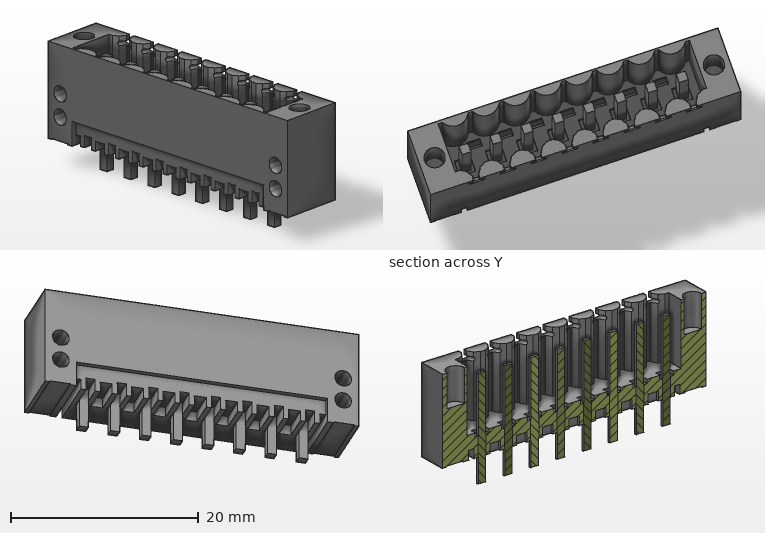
import cadquery as cq
CONTACT_COUNT = 8
PITCH = 3.5
FIRST_CONTACT_X = -PITCH * (CONTACT_COUNT - 1) / 2
CONTACT_XS = [FIRST_CONTACT_X + i * PITCH for i in range(CONTACT_COUNT)]
BETWEEN_CONTACT_XS = [x + PITCH / 2 for x in CONTACT_XS[:-1]]

LENGTH = 35.0
DEPTH = 7.45
HEIGHT = 11.1

PIN_SIDE = 1.0
PIN_Y = 3.55
PIN_BELOW_HOUSING = 3.15
PIN_LENGTH = 13.0
PIN_BACK_Y = PIN_Y + PIN_SIDE / 2

CAVITY_HALF_LENGTH = 14.18
FLOOR_Z = 3.0
CAVITY_FRONT_Y = 0.3
CAVITY_BACK_Y = 5.9

RIB_RADIUS = 1.65
RIB_CREST_Y = 1.15
RIB_VALLEY_Y = 0.2
RIB_VALLEY_WIDTH = 0.5

BAY_BACK_Y = 6.95
BAY_BACK_HALF_WIDTH = 0.35
BAY_TAPER_Y = 6.25
BAY_TAPER_HALF_WIDTH = 0.77
BAY_MOUTH_HALF_WIDTH = 1.4
BAY_SCOOP_RADIUS = 2.28

KEYWAY_WIDTH = 2 * BAY_BACK_HALF_WIDTH
KEYWAY_SLOT_HEIGHT = 0.5
KEYWAY_SLOT_LENGTH = 1.82
KEYWAY_SLOT_Z = HEIGHT - 0.85

CHANNEL_BACK_Y = 7.25
LIP_THICKNESS = 0.1
CHANNEL_TOP_Z = KEYWAY_SLOT_Z - KEYWAY_SLOT_HEIGHT / 2 - LIP_THICKNESS

PIN_POCKET_SIDE = 1.8
PIN_POCKET_DEPTH = 0.5
LATCH_WIDTH = 1.47
LATCH_FRONT_Y = RIB_CREST_Y
LATCH_RAMP_BACK_Y = 1.58
LATCH_BACK_Y = 2.0
LATCH_DEPTH = 0.7
LATCH_RAMP_RISE = 0.2

FRONT_RECESS_LENGTH = 28.0
FRONT_RECESS_DEPTH = 0.6
FRONT_RECESS_HEIGHT = 2.85
FOOT_WIDTH = 2.17
FOOT_HEIGHT = 1.15
PIN_SLOT_HEIGHT = 1.4

SCREW_X = 15.75
SCREW_HOLE_DIAMETER = 2.25
SCREW_HOLE_DEPTH = 4.2
FRONT_HOLE_DIAMETER = 1.82
FRONT_HOLE_DEPTH = 2.8
FRONT_HOLE_ZS = (2.87, 5.53)
RELIEF_X = 15.85
RELIEF_WIDTH = 2.3
RELIEF_HEIGHT = 0.1


def box(x_min, x_max, y_min, y_max, z_min, z_max):
    """Box given by its limits along each axis."""
    size = (x_max - x_min, y_max - y_min, z_max - z_min)
    return cq.Workplane("XY").box(*size, centered=False).translate((x_min, y_min, z_min))


def box_about(x, width, y_min, y_max, z_min, z_max):
    """Box centred on x."""
    return box(x - width / 2, x + width / 2, y_min, y_max, z_min, z_max)


def cavity():
    """Plug cavity: a rectangle plus the valleys between the ribs, minus the ribs, plus the bays."""
    space = box(-CAVITY_HALF_LENGTH, CAVITY_HALF_LENGTH, CAVITY_FRONT_Y, CAVITY_BACK_Y, FLOOR_Z, HEIGHT)
    for x in BETWEEN_CONTACT_XS:
        space = space.union(box_about(x, RIB_VALLEY_WIDTH, RIB_VALLEY_Y, CAVITY_BACK_Y, FLOOR_Z, HEIGHT))
    rib_points = [(x, RIB_CREST_Y - RIB_RADIUS) for x in CONTACT_XS]
    ribs = (
        cq.Workplane("XY").workplane(offset=FLOOR_Z)
        .pushPoints(rib_points).circle(RIB_RADIUS).extrude(HEIGHT - FLOOR_Z)
    )
    space = space.cut(ribs)
    for x in CONTACT_XS:
        space = space.union(bay(x))
    return space


def bay(x):
    """Bay in the back wall: a channel and a tapered throat that opens through two concave scoops."""
    throat = (
        cq.Workplane("XY").workplane(offset=FLOOR_Z)
        .moveTo(x - BAY_MOUTH_HALF_WIDTH, CAVITY_BACK_Y)
        .radiusArc((x - BAY_TAPER_HALF_WIDTH, BAY_TAPER_Y), BAY_SCOOP_RADIUS)
        .lineTo(x - BAY_BACK_HALF_WIDTH, BAY_BACK_Y)
        .lineTo(x + BAY_BACK_HALF_WIDTH, BAY_BACK_Y)
        .lineTo(x + BAY_TAPER_HALF_WIDTH, BAY_TAPER_Y)
        .radiusArc((x + BAY_MOUTH_HALF_WIDTH, CAVITY_BACK_Y), BAY_SCOOP_RADIUS)
        .close().extrude(HEIGHT - FLOOR_Z)
    )
    channel = box_about(x, 2 * BAY_BACK_HALF_WIDTH, BAY_TAPER_Y, CHANNEL_BACK_Y, FLOOR_Z, CHANNEL_TOP_Z)
    return throat.union(channel)


def keyway(x):
    """T-shaped opening through the back wall: a round-ended cross slot with a neck up to the top."""
    neck = box_about(x, KEYWAY_WIDTH, BAY_TAPER_Y, DEPTH, KEYWAY_SLOT_Z, HEIGHT)
    cross_slot = (
        cq.Workplane("XZ", origin=(x, DEPTH, KEYWAY_SLOT_Z))
        .slot2D(KEYWAY_SLOT_LENGTH, KEYWAY_SLOT_HEIGHT).extrude(DEPTH - CAVITY_BACK_Y)
    )
    return neck.union(cross_slot)


def latch_pocket(x):
    """Floor pocket whose bottom rises as a ramp towards the front wall."""
    bottom_z = FLOOR_Z - LATCH_DEPTH
    return (
        cq.Workplane("YZ", origin=(x - LATCH_WIDTH / 2, 0, 0))
        .moveTo(LATCH_FRONT_Y, FLOOR_Z)
        .lineTo(LATCH_FRONT_Y, bottom_z + LATCH_RAMP_RISE)
        .lineTo(LATCH_RAMP_BACK_Y, bottom_z)
        .lineTo(LATCH_BACK_Y, bottom_z)
        .lineTo(LATCH_BACK_Y, FLOOR_Z)
        .close().extrude(LATCH_WIDTH)
    )


def pin_openings(x):
    """Pocket in the floor, square hole, and the slot below that is open to the front."""
    pocket = (
        cq.Workplane("XY", origin=(x, PIN_Y, FLOOR_Z))
        .rect(PIN_POCKET_SIDE, PIN_POCKET_SIDE).extrude(-PIN_POCKET_DEPTH)
    )
    hole = cq.Workplane("XY", origin=(x, PIN_Y, 0)).rect(PIN_SIDE, PIN_SIDE).extrude(FLOOR_Z)
    slot = box_about(x, PIN_SIDE, 0, PIN_BACK_Y, 0, PIN_SLOT_HEIGHT)
    return pocket.union(hole).union(slot)


def underside_cuts():
    """Front recess, the gaps between the feet, and the passages beside the end blocks."""
    half_length = FRONT_RECESS_LENGTH / 2
    cuts = box(-half_length, half_length, 0, FRONT_RECESS_DEPTH, 0, FRONT_RECESS_HEIGHT)
    for x in BETWEEN_CONTACT_XS:
        cuts = cuts.union(box_about(x, PITCH - FOOT_WIDTH, 0, PIN_BACK_Y, 0, FOOT_HEIGHT))
    feet_end_x = CONTACT_XS[-1] + FOOT_WIDTH / 2
    passage_width = half_length - feet_end_x
    for side in (-1, 1):
        passage_x = side * (half_length + feet_end_x) / 2
        cuts = cuts.union(box_about(passage_x, passage_width, 0, DEPTH, 0, FOOT_HEIGHT))
    return cuts


def end_block_cuts(side):
    """Blind screw hole, two blind front holes and a shallow relief under one end block."""
    x = side * SCREW_X
    cuts = (
        cq.Workplane("XY", origin=(x, DEPTH / 2, HEIGHT))
        .circle(SCREW_HOLE_DIAMETER / 2).extrude(-SCREW_HOLE_DEPTH)
    )
    for z in FRONT_HOLE_ZS:
        front_hole = (
            cq.Workplane("XZ", origin=(x, 0, z))
            .circle(FRONT_HOLE_DIAMETER / 2).extrude(-FRONT_HOLE_DEPTH)
        )
        cuts = cuts.union(front_hole)
    return cuts.union(box_about(side * RELIEF_X, RELIEF_WIDTH, 0, DEPTH, 0, RELIEF_HEIGHT))


def make_housing():
    """Header housing that holds all the pins."""
    body = box_about(0, LENGTH, 0, DEPTH, 0, HEIGHT)
    body = body.cut(cavity()).cut(underside_cuts())
    for x in CONTACT_XS:
        body = body.cut(keyway(x)).cut(pin_openings(x))
    for x in BETWEEN_CONTACT_XS:
        body = body.cut(latch_pocket(x))
    for side in (-1, 1):
        body = body.cut(end_block_cuts(side))
    return body


def make_pin(x):
    """Straight square contact pin."""
    return (
        cq.Workplane("XY", origin=(x, PIN_Y, -PIN_BELOW_HOUSING))
        .rect(PIN_SIDE, PIN_SIDE).extrude(PIN_LENGTH)
    )


housing = make_housing()
pins = [make_pin(x) for x in CONTACT_XS]

result = cq.Compound.makeCompound([housing.val(), *[pin.val() for pin in pins]])